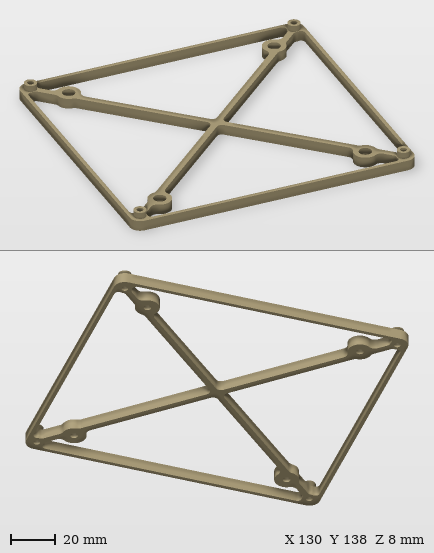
import cadquery as cq
import math

frame_x = 130.0
frame_y = 138.0
frame_height = 5.0
total_height = 8.0
corner_radius = 5.0
wall = 1.8

peg_diameter = 6.0
peg_hole_diameter = 3.0
peg_pad_diameter = 6.5
peg_x = frame_x / 2 - corner_radius
peg_y = frame_y / 2 - corner_radius

lug_offset = 50.0
lug_diameter = 11.0
lug_hole_diameter = 3.5
counterbore_diameter = 6.0
counterbore_depth = 2.9

arm_width = 3.0
cross_fillet = 2.5
lug_fillet = 3.0
pad_fillet = 2.0

junction_reach = 0.51


def four_corners(x, y):
    """Points mirrored into all four quadrants."""
    return [(sx * x, sy * y) for sx in (-1, 1) for sy in (-1, 1)]


def cylinders(points, diameter, bottom, top):
    """Vertical cylinders at the given points."""
    return (
        cq.Workplane("XY").workplane(offset=bottom)
        .pushPoints(points).circle(diameter / 2).extrude(top - bottom)
    )


def corner_rounded_rim():
    """Thin rectangular rim with rounded outer corners."""
    outer = cq.Workplane("XY").rect(frame_x, frame_y).extrude(frame_height)
    outer = outer.edges("|Z").fillet(corner_radius)
    opening = (
        cq.Workplane("XY")
        .rect(frame_x - 2 * wall, frame_y - 2 * wall).extrude(frame_height)
        .edges("|Z").fillet(corner_radius - wall)
    )
    return outer.cut(opening)


def round_junctions(body, points, reach, radius):
    """Fillet the vertical edges lying within a square reach of each point."""
    for x, y in points:
        zone = cq.selectors.BoxSelector(
            (x - reach, y - reach, 0), (x + reach, y + reach, frame_height)
        )
        body = body.edges("|Z").edges(zone).fillet(radius)
    return body


def diagonal_arms():
    """Crossed arms joining opposite pegs, with a rounded centre."""
    length = 2 * math.hypot(peg_x, peg_y)
    angle = math.degrees(math.atan2(peg_y, peg_x))
    arm = cq.Workplane("XY").rect(length, arm_width).extrude(frame_height)
    first = arm.rotate((0, 0, 0), (0, 0, 1), angle)
    second = arm.rotate((0, 0, 0), (0, 0, 1), -angle)
    return round_junctions(first.union(second), [(0, 0)], 2 * arm_width, cross_fillet)


pegs = four_corners(peg_x, peg_y)
lugs = four_corners(lug_offset, lug_offset)

cross = diagonal_arms().union(cylinders(lugs, lug_diameter, 0, frame_height))
cross = round_junctions(cross, lugs, junction_reach * lug_diameter, lug_fillet)

rim = corner_rounded_rim().union(cylinders(pegs, peg_pad_diameter, 0, frame_height))
body = round_junctions(rim.union(cross), pegs, junction_reach * peg_pad_diameter, pad_fillet)

body = body.union(cylinders(pegs, peg_diameter, 0, total_height))
body = body.cut(cylinders(pegs, peg_hole_diameter, 0, total_height))
body = body.cut(cylinders(lugs, lug_hole_diameter, 0, frame_height))
result = body.cut(
    cylinders(lugs, counterbore_diameter, frame_height - counterbore_depth, frame_height)
)